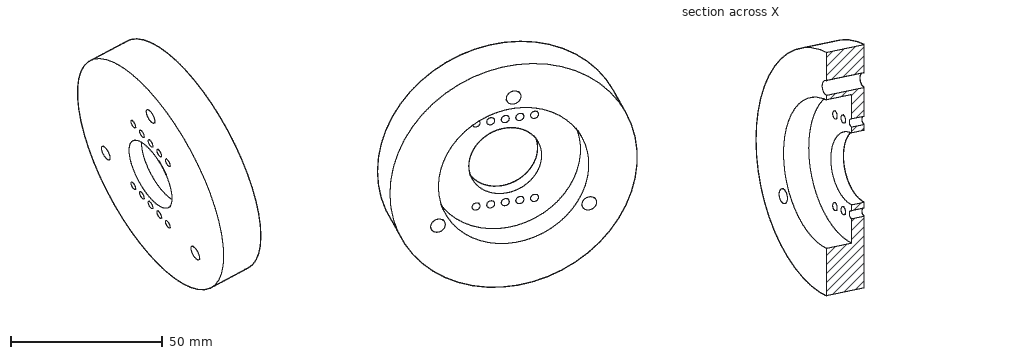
import cadquery as cq

disc_diameter = 85.0
thickness = 15.0
bore_diameter = 25.0

recess_diameter = 51.7
web_thickness = 5.0

mount_hole_diameter = 5.0
mount_circle_diameter = 60.0
mount_hole_count = 3
first_mount_angle = 90.0

pin_hole_diameter = 2.7
pin_pitch = 5.0
pins_per_row = 5
row_spacing = 32.0
row_count = 2

front_y = -thickness / 2
rear_y = thickness / 2


def front_plane():
    """XZ sketch plane on the front face; negative extrusion goes toward +Y."""
    return cq.Workplane("XZ", origin=(0, front_y, 0))


def make_disc():
    return front_plane().circle(disc_diameter / 2).extrude(-thickness)


def make_bore():
    return front_plane().circle(bore_diameter / 2).extrude(-thickness)


def make_recess():
    recess_depth = thickness - web_thickness
    rear_plane = cq.Workplane("XZ", origin=(0, rear_y, 0))
    return rear_plane.circle(recess_diameter / 2).extrude(recess_depth)


def make_mount_holes():
    return (
        front_plane()
        .polarArray(mount_circle_diameter / 2, first_mount_angle, 360, mount_hole_count)
        .circle(mount_hole_diameter / 2)
        .extrude(-thickness)
    )


def make_pin_holes():
    return (
        front_plane()
        .rarray(pin_pitch, row_spacing, pins_per_row, row_count)
        .circle(pin_hole_diameter / 2)
        .extrude(-thickness)
    )


result = (
    make_disc()
    .cut(make_bore())
    .cut(make_recess())
    .cut(make_mount_holes())
    .cut(make_pin_holes())
)